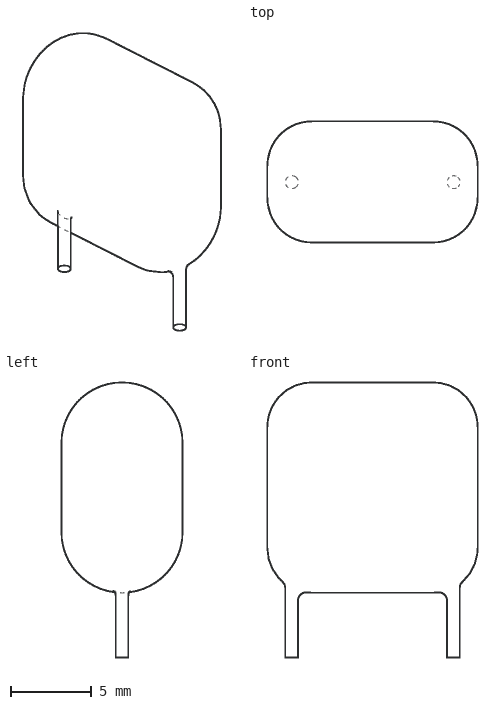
import cadquery as cq

body_width = 13.0
body_depth = 7.5
body_height = 13.0
end_rounding = 2.75

total_height = 17.0
lead_diameter = 0.8
lead_spacing = 10.0
lead_blend = 0.5

body_bottom = total_height - body_height
body_middle = body_bottom + body_height / 2
lead_places = [(-lead_spacing / 2, 0), (lead_spacing / 2, 0)]


def make_body():
    """Upright stadium section run along X, with both end faces rounded over."""
    block = (
        cq.Workplane("YZ", origin=(0, 0, body_middle))
        .slot2D(body_height, body_depth, 90)
        .extrude(body_width / 2, both=True)
    )
    return block.faces("<X or >X").edges().fillet(end_rounding)


def make_leads():
    """Leads start at Z = 0 and end inside the body."""
    return cq.Workplane("XY").pushPoints(lead_places).circle(lead_diameter / 2).extrude(body_middle)


def blend_leads(part):
    """Fillet the ring-shaped edge where each lead enters the body."""
    for x, y in lead_places:
        joint = cq.selectors.BoxSelector(
            (x - lead_diameter, y - lead_diameter, body_bottom),
            (x + lead_diameter, y + lead_diameter, body_bottom + lead_diameter),
            boundingbox=True,
        )
        part = part.edges(joint).fillet(lead_blend)
    return part


result = blend_leads(make_body().union(make_leads()))